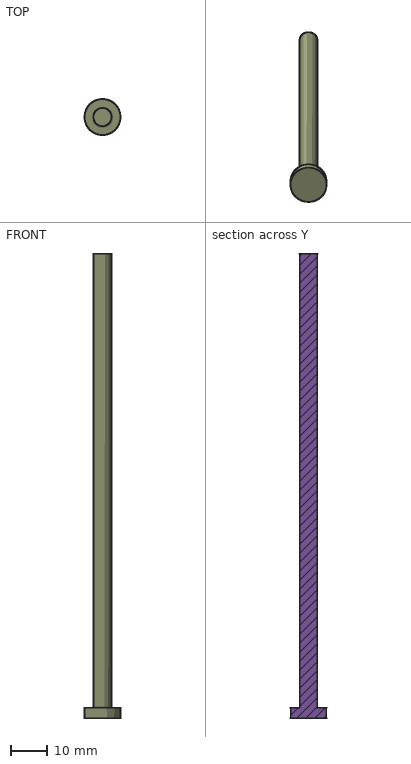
import cadquery as cq

total_length = 128.0
head_diameter = 10.0
head_thickness = 3.0
shank_diameter = 5.0
root_fillet = 0.3

head = cq.Workplane("XY").circle(head_diameter / 2).extrude(head_thickness)
shank = cq.Workplane("XY").circle(shank_diameter / 2).extrude(total_length)
pin = head.union(shank)

root_radius = shank_diameter / 2
root_edge = cq.selectors.BoxSelector(
    (-root_radius, -root_radius, head_thickness - root_fillet),
    (root_radius, root_radius, head_thickness + root_fillet),
    boundingbox=False,
)
result = pin.edges(root_edge).edges(cq.selectors.RadiusNthSelector(0)).fillet(root_fillet)